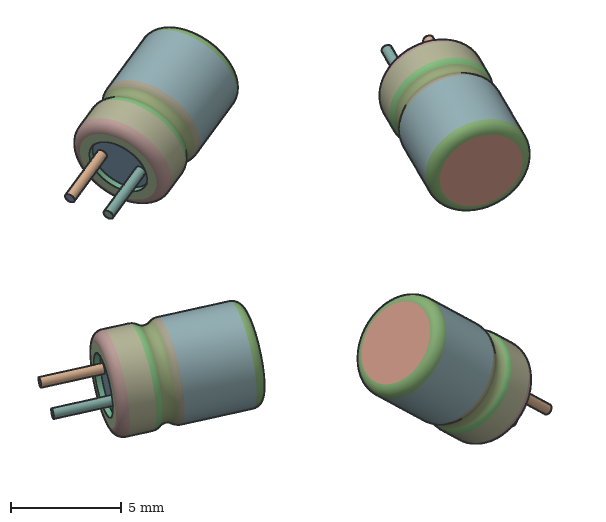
import cadquery as cq

total_length = 9.71
can_diameter = 5.0
can_length = 7.01
edge_radius = 0.505

groove_center = 2.43
groove_depth = 0.23
groove_half_width = 0.67
groove_blend = 0.33

seal_diameter = 3.0
seal_recess = 0.3
lead_radius = 0.25
lead_pitch = 2.0

can_radius = can_diameter / 2
seal_radius = seal_diameter / 2
lead_end = -total_length / 2
can_back = total_length / 2
can_front = can_back - can_length
seal_face = can_front + seal_recess


def arc_drop(radius, distance):
    """Drop of a circular arc at a distance from its crown."""
    return radius - (radius**2 - distance**2) ** 0.5


def make_can():
    groove_radius = (groove_half_width**2 + groove_depth**2) / (2 * groove_depth)
    blend_ratio = groove_blend / groove_half_width
    blend_radius = groove_radius * blend_ratio
    root_radius = groove_radius - blend_radius
    root_half_width = groove_half_width - groove_blend
    groove_y = can_front + groove_center
    joint_r = can_radius - groove_depth * blend_ratio
    blend_mid_r = can_radius - arc_drop(blend_radius, groove_blend / 2)
    blend_mid_offset = groove_half_width - groove_blend / 2
    corner_offset = edge_radius * (1 - 0.5**0.5)
    corner_mid_r = can_radius - corner_offset

    profile = (
        cq.Workplane("XY")
        .moveTo(0, can_front)
        .lineTo(can_radius - edge_radius, can_front)
        .threePointArc((corner_mid_r, can_front + corner_offset), (can_radius, can_front + edge_radius))
        .lineTo(can_radius, groove_y - groove_half_width)
        .threePointArc((blend_mid_r, groove_y - blend_mid_offset), (joint_r, groove_y - root_half_width))
        .threePointArc((can_radius - groove_depth, groove_y), (joint_r, groove_y + root_half_width))
        .threePointArc((blend_mid_r, groove_y + blend_mid_offset), (can_radius, groove_y + groove_half_width))
        .lineTo(can_radius, can_back - edge_radius)
        .threePointArc((corner_mid_r, can_back - corner_offset), (can_radius - edge_radius, can_back))
        .lineTo(0, can_back)
        .close()
    )
    return profile.revolve(360, (0, 0, 0), (0, 1, 0))


def rod(radius, x, y_start, y_end):
    """Cylinder along Y between two stations."""
    axis_start = cq.Vector(x, y_start, 0)
    return cq.Workplane(cq.Solid.makeCylinder(radius, y_end - y_start, axis_start, cq.Vector(0, 1, 0)))


result = make_can().cut(rod(seal_radius, 0, can_front, seal_face))
for side in (-1, 1):
    result = result.union(rod(lead_radius, side * lead_pitch / 2, lead_end, seal_face + lead_radius))